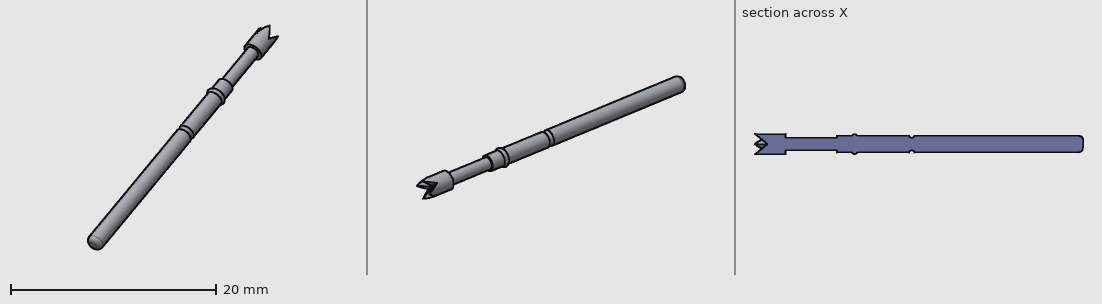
import cadquery as cq
import math

length = 32.0
crown_radius = 1.0
crown_length = 3.0
plunger_radius = 0.65
barrel_radius = 0.83
barrel_length = 24.0
tail_fillet = 0.48

collar_radius = crown_radius
collar_front = 22.53
collar_width = 0.5

groove_center = 16.7
groove_width = 0.5
groove_radius = 0.65

tooth_angle = 60.0
tooth_count = 4


def cylinder(radius, start, end):
    """Solid cylinder on the Y axis between two stations."""
    return cq.Workplane("XZ", origin=(0, end, 0)).circle(radius).extrude(end - start)


def make_barrel():
    """Barrel with a rounded tail."""
    return cylinder(barrel_radius, 0, barrel_length).faces("<Y").edges().fillet(tail_fillet)


def make_collar():
    """Press ring with a rounded outer surface."""
    collar_back = collar_front - collar_width
    return (
        cq.Workplane("XY")
        .moveTo(0, collar_back)
        .lineTo(barrel_radius, collar_back)
        .threePointArc((collar_radius, collar_front - collar_width / 2), (barrel_radius, collar_front))
        .lineTo(0, collar_front)
        .close()
        .revolve(360, (0, 0, 0), (0, 1, 0))
    )


def make_groove_cutter():
    """Ring with an arc section bulging inward."""
    half_width = groove_width / 2
    return (
        cq.Workplane("XY")
        .moveTo(barrel_radius, groove_center - half_width)
        .threePointArc((groove_radius, groove_center), (barrel_radius, groove_center + half_width))
        .close()
        .revolve(360, (0, 0, 0), (0, 1, 0))
    )


def make_crown():
    """Head cut by V-grooves across its diameter, leaving equally spaced pointed teeth."""
    crown = cylinder(crown_radius, length - crown_length, length)
    half_pitch = 180 / tooth_count
    slope = math.tan(math.radians(tooth_angle / 2))
    tip_offset = crown_radius * math.sin(math.radians(half_pitch))
    valley_y = length - tip_offset / slope
    cutter_half_width = crown_radius
    v_cut = (
        cq.Workplane("XY")
        .moveTo(0, valley_y)
        .lineTo(cutter_half_width, valley_y + cutter_half_width / slope)
        .lineTo(-cutter_half_width, valley_y + cutter_half_width / slope)
        .close()
        .extrude(2 * crown_radius, both=True)
    )
    for index in range(tooth_count // 2):
        angle = half_pitch * (2 * index + 1)
        crown = crown.cut(v_cut.rotate((0, 0, 0), (0, 1, 0), angle))
    return crown


plunger = cylinder(plunger_radius, barrel_length, length - crown_length)
barrel = make_barrel().union(make_collar()).cut(make_groove_cutter())
result = barrel.union(plunger).union(make_crown())